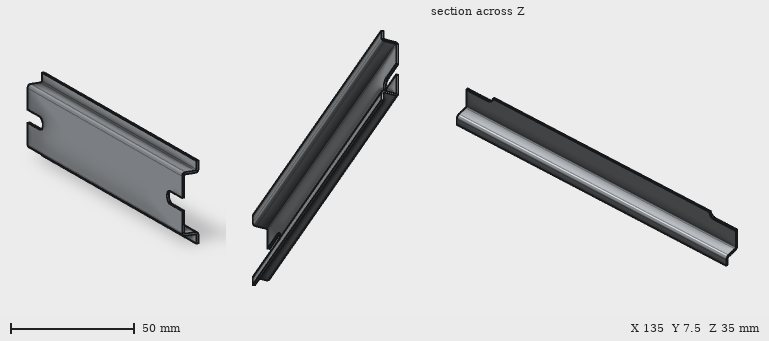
import cadquery as cq

rail_length = 135.0
rail_depth = 7.5
rail_height = 35.0
hat_height = 27.0
sheet_thickness = 1.0
inner_bend_radius = 0.5

slot_width = 5.5
slot_centre_inset = 10.5

outer_bend_radius = inner_bend_radius + sheet_thickness


def sheet_section():
    """Sharp-cornered section of the sheet in the YZ plane."""
    web_back = sheet_thickness
    flange_front = rail_depth - sheet_thickness
    tip = rail_height / 2
    hat_outside = hat_height / 2
    hat_inside = hat_outside - sheet_thickness
    upper_half = [
        (web_back, hat_inside),
        (rail_depth, hat_inside),
        (rail_depth, tip),
        (flange_front, tip),
        (flange_front, hat_outside),
        (0, hat_outside),
    ]
    lower_half = [(y, -z) for y, z in reversed(upper_half)]
    return cq.Workplane("YZ").polyline(upper_half + lower_half).close()


def bent_rail():
    """Rail with every bend rounded inside and outside."""
    hat_outside = hat_height / 2
    hat_inside = hat_outside - sheet_thickness
    outer_corners = [(0, hat_outside), (rail_depth, hat_inside)]
    inner_corners = [(sheet_thickness, hat_inside), (rail_depth - sheet_thickness, hat_outside)]
    rail = sheet_section().extrude(rail_length / 2, both=True)
    for corners, radius in ((outer_corners, outer_bend_radius), (inner_corners, inner_bend_radius)):
        for y, z in corners:
            for side in (1, -1):
                bend = cq.selectors.NearestToPointSelector((0, y, side * z))
                rail = rail.edges("|X").edges(bend).fillet(radius)
    return rail


def end_slot(x_side):
    """Round-bottomed slot through the web, open at one end of the rail."""
    round_span = 2 * slot_centre_inset
    return (
        cq.Workplane("XZ")
        .center(x_side * rail_length / 2, 0)
        .slot2D(round_span + slot_width, slot_width)
        .extrude(-sheet_thickness)
    )


result = bent_rail()
for x_side in (1, -1):
    result = result.cut(end_slot(x_side))